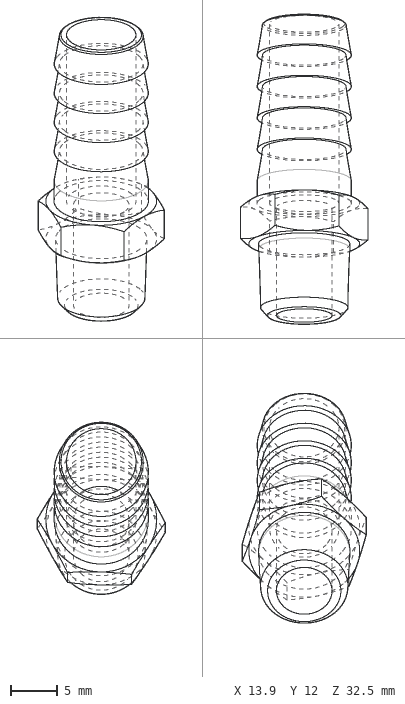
import cadquery as cq
import math

total_height = 32.5
thread_chamfer_height = 0.88
thread_taper_top = 7.4
hex_bottom = 8.0
hex_top = 12.5
barb_start = 15.0

thread_neck_diameter = 9.88
thread_taper = 1 / 16
thread_end_diameter = 7.93

hex_across_flats = 12.0
hex_chamfer_angle = 30.0

barb_count = 5
barb_crest_diameter = 10.2
barb_root_diameter = 9.05
tip_chamfer = 0.15

hose_bore_diameter = 7.5
through_bore_diameter = 6.0
hose_bore_bottom = hex_top
bore_cone_angle = 118.0


def revolve_profile(points):
    """Revolve (radius, height) points about the Z axis."""
    return cq.Workplane("XZ").polyline(points).close().revolve(360, (0, 0), (0, 1))


def make_threaded_end():
    neck_radius = thread_neck_diameter / 2
    taper_length = thread_taper_top - thread_chamfer_height
    taper_end_radius = neck_radius - thread_taper * taper_length / 2
    return revolve_profile([
        (0, 0),
        (thread_end_diameter / 2, 0),
        (taper_end_radius, thread_chamfer_height),
        (neck_radius, thread_taper_top),
        (neck_radius, hex_bottom),
        (0, hex_bottom),
    ])


def make_hex_collar():
    corner_radius = hex_across_flats / math.sqrt(3)
    flat_radius = hex_across_flats / 2
    chamfer_drop = (corner_radius - flat_radius) * math.tan(math.radians(hex_chamfer_angle))
    prism = (
        cq.Workplane("XY", origin=(0, 0, hex_bottom))
        .polygon(6, 2 * corner_radius)
        .extrude(hex_top - hex_bottom)
    )
    corner_limit = revolve_profile([
        (0, hex_bottom),
        (flat_radius, hex_bottom),
        (corner_radius, hex_bottom + chamfer_drop),
        (corner_radius, hex_top - chamfer_drop),
        (flat_radius, hex_top),
        (0, hex_top),
    ])
    return prism.intersect(corner_limit)


def make_hose_tail():
    crest_radius = barb_crest_diameter / 2
    root_radius = barb_root_diameter / 2
    barb_pitch = (total_height - barb_start) / barb_count
    points = [(0, hex_top), (crest_radius, hex_top)]
    for index in range(barb_count):
        barb_bottom = barb_start + index * barb_pitch
        points.append((crest_radius, barb_bottom))
        points.append((root_radius, barb_bottom + barb_pitch))
    points.append((0, total_height))
    return revolve_profile(points).faces(">Z").edges().chamfer(tip_chamfer)


def make_bore():
    hose_radius = hose_bore_diameter / 2
    through_radius = through_bore_diameter / 2
    cone_height = (hose_radius - through_radius) / math.tan(math.radians(bore_cone_angle / 2))
    return revolve_profile([
        (0, 0),
        (through_radius, 0),
        (through_radius, hose_bore_bottom - cone_height),
        (hose_radius, hose_bore_bottom),
        (hose_radius, total_height),
        (0, total_height),
    ])


result = make_threaded_end().union(make_hex_collar()).union(make_hose_tail()).cut(make_bore())